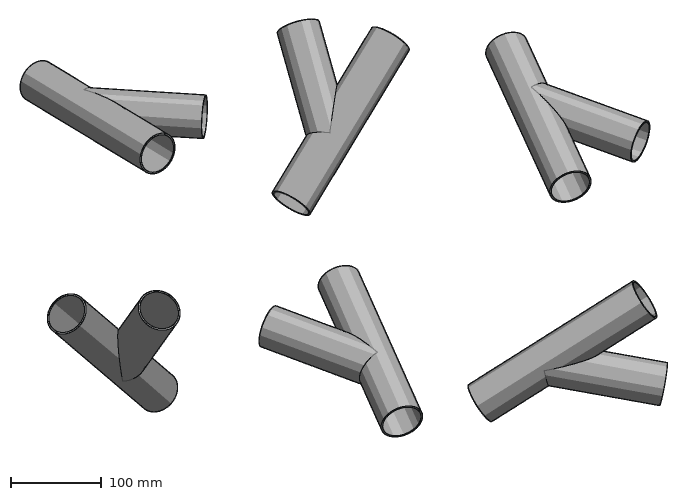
import cadquery as cq
import math

run_length = 218.3
outer_diameter = 48.2
inner_diameter = 44.3
branch_angle = 45.0
branch_position = 85.0
overall_width = 135.5

outer_radius = outer_diameter / 2
angle = math.radians(branch_angle)
rim_reach = overall_width - outer_radius
branch_length = (rim_reach - outer_radius * math.cos(angle)) / math.sin(angle)

run_plane = cq.Plane(origin=(-run_length / 2, 0, 0), xDir=(0, 1, 0), normal=(1, 0, 0))
branch_plane = cq.Plane(
    origin=(branch_position - run_length / 2, 0, 0),
    xDir=(0, 0, 1),
    normal=(math.cos(angle), math.sin(angle), 0),
)


def rod(plane, diameter, length):
    """Solid cylinder starting on the given plane."""
    return cq.Workplane(plane).circle(diameter / 2).extrude(length)


def wye(diameter):
    """Run and branch of one diameter joined into a solid Y."""
    run = rod(run_plane, diameter, run_length)
    branch = rod(branch_plane, diameter, branch_length)
    return run.union(branch)


result = wye(outer_diameter).cut(wye(inner_diameter))